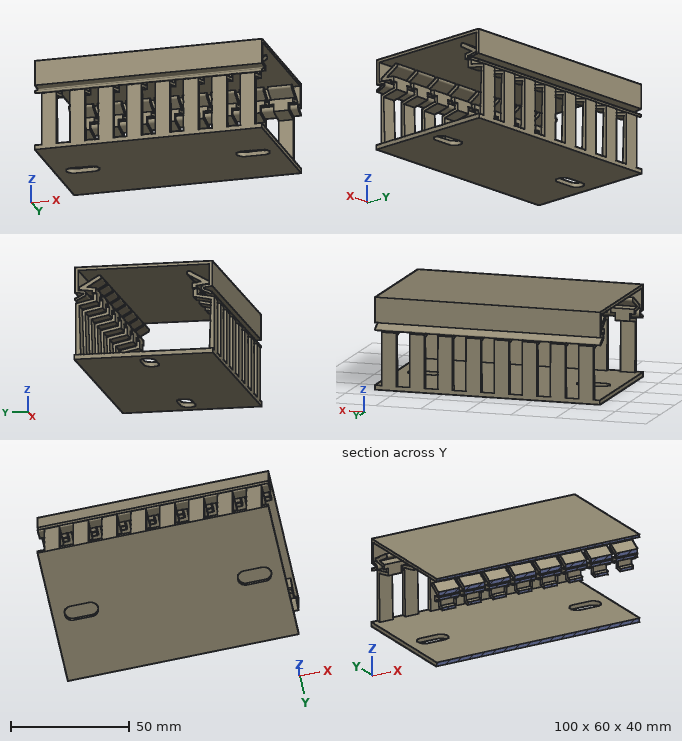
import cadquery as cq
import math


length = 100.0
width = 60.0
height = 40.0

floor_thickness = 2.0
mount_slot_length = 14.5
mount_slot_width = 6.5
mount_slot_spacing = 75.0

finger_count = 8
finger_pitch = length / finger_count
finger_gap = 6.0
head_gap = 2.0
head_split_height = 28.75

wall_foot_thickness = 2.2
wall_top_thickness = 1.5
wall_inner_top = 23.9
wall_outer_top = 25.1
wall_ledge = 0.4

upright_outer_inset = 7.5
upright_inner_inset = 9.15
lower_leg_slope = math.tan(math.radians(12))
upper_leg_slope = math.tan(math.radians(7.5))
upper_leg_top = 30.9
upper_leg_height = 1.45
lip_inset = 1.9
lip_top = 31.4
arm_angle = math.radians(30)
arm_thickness = 1.8
arm_tip_inset = 10.6

lid_side_gap = 0.3
lid_thickness = 1.4
lid_skirt_bottom = 29.0
curl_thickness = 1.1
bend_inset = 3.75
bend_inner_radius = 0.25
bend_outer_radius = bend_inner_radius + curl_thickness
curl_angle = math.radians(7)
flap_angle = math.radians(25)
flap_end_radius = curl_thickness / 2


def point_at(center, radius, angle):
    """Point on a circle, with the angle measured from the inward direction."""
    return (center[0] + radius * math.cos(angle), center[1] + radius * math.sin(angle))


def at_wall(point):
    """Turn an (inset, height) point into (Y, Z) at the -Y side wall."""
    inset, z = point
    return (inset - width / 2, z)


def section_through(points):
    """Start a cross-section outline and draw straight lines through the points."""
    start, *others = [at_wall(p) for p in points]
    return cq.Workplane("YZ", origin=(-length / 2, 0, 0)).moveTo(*start).polyline(
        others, includeCurrent=True
    )


def both_sides(body):
    """The body together with its mirror image across the XZ plane."""
    return body.union(body.mirror("XZ"))


def wall_with_hook():
    """Side wall at -Y with its hooked head, still unbroken along X."""
    lower_leg_outer_run = upright_outer_inset - wall_ledge
    lower_leg_inner_run = upright_inner_inset - wall_top_thickness
    upper_leg_under = upper_leg_top - upper_leg_height
    lip_bottom = upper_leg_under + (upright_inner_inset - lip_inset) * upper_leg_slope

    arm_slope = math.tan(arm_angle)
    arm_radius = arm_thickness / 2
    arm_drop = arm_thickness / math.cos(arm_angle)
    arm_tip = (
        arm_tip_inset,
        lip_top + (arm_tip_inset - lip_inset) * arm_slope - arm_drop / 2,
    )
    up = arm_angle + math.pi / 2
    arm_top = point_at(arm_tip, arm_radius, up)
    arm_end = point_at(arm_tip, arm_radius, arm_angle)
    arm_under = point_at(arm_tip, arm_radius, arm_angle - math.pi / 2)

    arm_under_at_lip = lip_top - arm_drop
    leg_top_at_lip = lip_bottom + upper_leg_height
    notch_run = (leg_top_at_lip - arm_under_at_lip) / (arm_slope + upper_leg_slope)
    notch = (lip_inset + notch_run, arm_under_at_lip + notch_run * arm_slope)

    outer_points = [
        (0, 0),
        (0, wall_outer_top),
        (wall_ledge, wall_outer_top),
        (upright_outer_inset, wall_outer_top + lower_leg_outer_run * lower_leg_slope),
        (upright_outer_inset, lip_bottom - (upright_outer_inset - lip_inset) * upper_leg_slope),
        (lip_inset, lip_bottom),
        (lip_inset, lip_top),
        arm_top,
    ]
    inner_points = [
        notch,
        (upright_inner_inset, upper_leg_top),
        (upright_inner_inset, wall_inner_top + lower_leg_inner_run * lower_leg_slope),
        (wall_top_thickness, wall_inner_top),
        (wall_foot_thickness, floor_thickness),
        (wall_foot_thickness, 0),
    ]
    outline = section_through(outer_points).threePointArc(at_wall(arm_end), at_wall(arm_under))
    for point in inner_points:
        outline = outline.lineTo(*at_wall(point))
    return outline.close().extrude(length)


def gap_cutter(x, gap, bottom, top):
    """Block across the whole duct that clears the space between two fingers."""
    return cq.Workplane("XY", origin=(x, 0, bottom)).rect(gap, width).extrude(top - bottom)


def make_duct():
    floor = cq.Workplane("XY").rect(length, width).extrude(floor_thickness)
    duct = both_sides(wall_with_hook()).union(floor)

    for i in range(finger_count + 1):
        x = i * finger_pitch - length / 2
        duct = duct.cut(gap_cutter(x, finger_gap, floor_thickness, head_split_height))
        duct = duct.cut(gap_cutter(x, head_gap, head_split_height, height))

    mount_slots = (
        cq.Workplane("XY")
        .rarray(mount_slot_spacing, 1, 2, 1)
        .slot2D(mount_slot_length, mount_slot_width)
        .extrude(floor_thickness)
    )
    return duct.cut(mount_slots)


def lid_side():
    """Skirt of the lid at -Y with the curl that snaps into the hooks."""
    skirt_inner = lid_side_gap + lid_thickness

    curl_normal = math.pi / 2 - curl_angle
    flap_normal = flap_angle - math.pi / 2
    curl_slope = math.tan(curl_angle)
    bend_under_inset = bend_inset + bend_inner_radius * math.cos(curl_normal)
    bend_height = (
        lid_skirt_bottom
        - (bend_under_inset - lid_side_gap) * curl_slope
        - bend_inner_radius * math.sin(curl_normal)
    )
    bend = (bend_inset, bend_height)
    curl_top = point_at(bend, bend_outer_radius, curl_normal)
    curl_top_at_skirt = curl_top[1] + (curl_top[0] - skirt_inner) * curl_slope

    bend_mid = point_at(bend, bend_inner_radius + flap_end_radius, flap_normal)
    flap_end_inset = lid_side_gap + flap_end_radius
    flap_end = (
        flap_end_inset,
        bend_mid[1] - (bend_mid[0] - flap_end_inset) * math.tan(flap_angle),
    )

    outline = section_through(
        [
            (lid_side_gap, height),
            (skirt_inner, height),
            (skirt_inner, curl_top_at_skirt),
            curl_top,
        ]
    )
    outline = outline.threePointArc(
        at_wall(point_at(bend, bend_outer_radius, 0)),
        at_wall(point_at(bend, bend_outer_radius, flap_normal)),
    )
    outline = outline.lineTo(*at_wall(point_at(flap_end, flap_end_radius, flap_normal)))
    outline = outline.threePointArc(
        at_wall(point_at(flap_end, flap_end_radius, flap_angle + math.pi)),
        at_wall(point_at(flap_end, flap_end_radius, flap_normal + math.pi)),
    )
    outline = outline.lineTo(*at_wall(point_at(bend, bend_inner_radius, flap_normal)))
    outline = outline.threePointArc(
        at_wall(point_at(bend, bend_inner_radius, 0)),
        at_wall(point_at(bend, bend_inner_radius, curl_normal)),
    )
    outline = outline.lineTo(*at_wall((lid_side_gap, lid_skirt_bottom)))
    return outline.close().extrude(length)


def make_lid():
    lid_top = (
        cq.Workplane("XY", origin=(0, 0, height - lid_thickness))
        .rect(length, width - 2 * lid_side_gap)
        .extrude(lid_thickness)
    )
    return both_sides(lid_side()).union(lid_top)


duct = make_duct()
lid = make_lid()

result = cq.Compound.makeCompound([duct.solids().val(), lid.solids().val()])